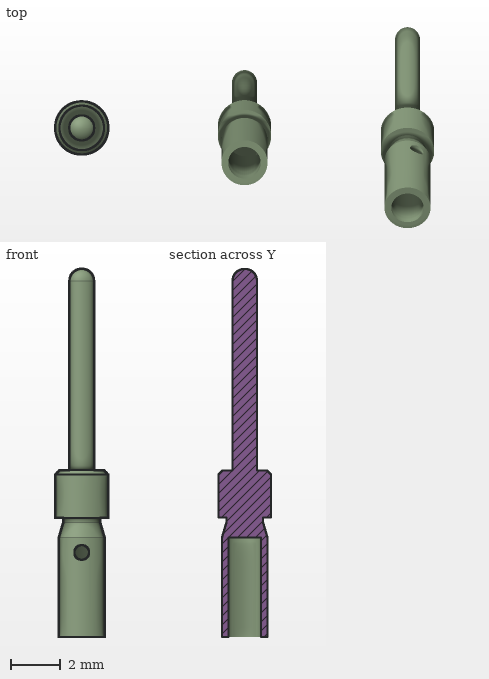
import cadquery as cq

total_height = 14.8
pin_diameter = 1.0
collar_diameter = 2.15
neck_diameter = 1.5
barrel_diameter = 1.85

barrel_top = 4.0
taper_top = 4.6
collar_bottom = 4.8
collar_top = 6.7
collar_chamfer = 0.18

bore_diameter = 1.3
bore_depth = barrel_top
inspection_diameter = 0.59
inspection_height = 3.4

pin_radius = pin_diameter / 2
collar_radius = collar_diameter / 2
neck_radius = neck_diameter / 2
barrel_radius = barrel_diameter / 2


def turned_body():
    """Revolve the half profile: barrel, tapered neck, chamfered collar and round-nosed pin."""
    nose_start = total_height - pin_radius
    nose_middle = (pin_radius * 0.5**0.5, nose_start + pin_radius * 0.5**0.5)
    return (
        cq.Workplane("XZ")
        .lineTo(barrel_radius, 0)
        .lineTo(barrel_radius, barrel_top)
        .lineTo(neck_radius, taper_top)
        .lineTo(neck_radius, collar_bottom)
        .lineTo(collar_radius, collar_bottom)
        .lineTo(collar_radius, collar_top - collar_chamfer)
        .lineTo(collar_radius - collar_chamfer, collar_top)
        .lineTo(pin_radius, collar_top)
        .lineTo(pin_radius, nose_start)
        .threePointArc(nose_middle, (0, total_height))
        .close()
        .revolve(360, (0, 0, 0), (0, 1, 0))
    )


def wire_bore():
    """Blind bore up from the bottom face."""
    return cq.Workplane("XY").circle(bore_diameter / 2).extrude(bore_depth)


def inspection_hole():
    """Radial hole through the -Y wall only, ending inside the bore."""
    return (
        cq.Workplane("XZ")
        .center(0, inspection_height)
        .circle(inspection_diameter / 2)
        .extrude(barrel_diameter)
    )


result = turned_body().cut(wire_bore()).cut(inspection_hole())